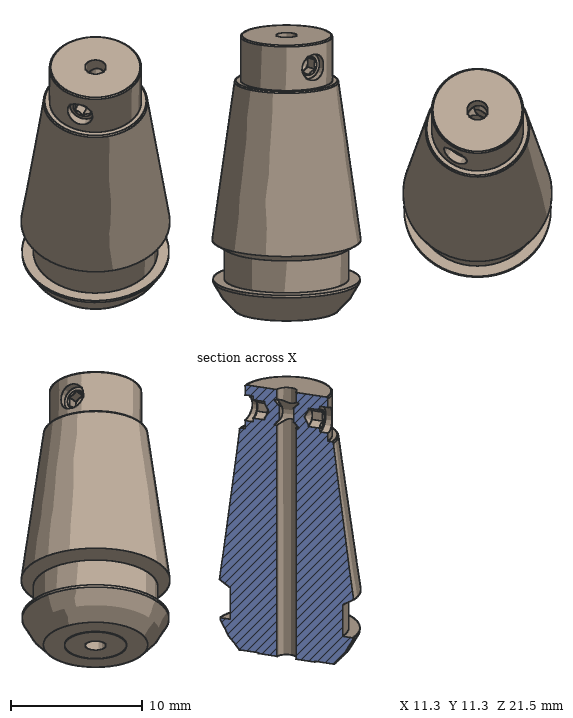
import cadquery as cq
import math

total_height = 21.5
shoulder_height = 17.97
taper_base_height = 5.5
groove_top_height = 4.95
flange_top_height = 2.45
flange_rim_height = 2.25
base_break_height = 1.05
base_height = 0.06

head_diameter = 7.0
shoulder_diameter = 7.93
taper_base_diameter = 11.35
groove_diameter = 9.5
flange_diameter = 11.2
base_break_diameter = 9.8
base_diameter = 7.95
base_land_diameter = 4.73
edge_chamfer = 0.1

bore_diameter = 1.6
screw_diameter = 2.02
screw_height = 19.63
screw_outer_distance = 2.84
screw_tip_distance = 0.58
screw_tip_diameter = 1.12
socket_flats = 1.25
socket_mouth_diameter = 1.5
socket_depth = 0.97
socket_cone_depth = 0.35


def revolve_outline(points):
    """Turn a closed (radius, axial position) outline about the local Y axis."""
    return cq.Workplane("XZ").polyline(points).close().revolve(360, (0, 0), (0, 1))


def make_body():
    outline = [
        (0, 0),
        (base_land_diameter / 2, 0),
        (base_land_diameter / 2, base_height),
        (base_diameter / 2, base_height),
        (base_break_diameter / 2, base_break_height),
        (flange_diameter / 2, flange_rim_height),
        (flange_diameter / 2, flange_top_height),
        (groove_diameter / 2, flange_top_height),
        (groove_diameter / 2, groove_top_height),
        (taper_base_diameter / 2, taper_base_height),
        (shoulder_diameter / 2, shoulder_height - edge_chamfer),
        (shoulder_diameter / 2 - edge_chamfer, shoulder_height),
        (head_diameter / 2, shoulder_height),
        (head_diameter / 2, total_height - edge_chamfer),
        (head_diameter / 2 - edge_chamfer, total_height),
        (0, total_height),
    ]
    return revolve_outline(outline)


def make_screw():
    """Set screw along +Z, at its working distance from the origin, with a hex socket."""
    radius = screw_diameter / 2
    tip_radius = screw_tip_diameter / 2
    screw = revolve_outline([
        (0, screw_tip_distance),
        (tip_radius, screw_tip_distance),
        (radius, screw_tip_distance + radius - tip_radius),
        (radius, screw_outer_distance),
        (0, screw_outer_distance),
    ])
    socket_corners = socket_flats / math.cos(math.pi / 6)
    socket_floor = screw_outer_distance - socket_depth
    socket = (
        cq.Workplane("XY", origin=(0, 0, socket_floor))
        .polygon(6, socket_corners)
        .extrude(socket_depth)
        .rotate((0, 0, 0), (0, 0, 1), 30)
    )
    floor_cone = revolve_outline([
        (0, socket_floor - socket_cone_depth),
        (socket_flats / 2, socket_floor),
        (0, socket_floor),
    ])
    mouth_radius = socket_mouth_diameter / 2
    mouth_cone = revolve_outline([
        (0, screw_outer_distance - mouth_radius),
        (mouth_radius, screw_outer_distance),
        (0, screw_outer_distance),
    ])
    return screw.cut(socket).cut(floor_cone).cut(mouth_cone)


def place_in_head(shape, side):
    """Lay a Z-aligned shape along -Y (side 1) or +Y (side -1) at screw height."""
    return shape.rotate((0, 0, 0), (1, 0, 0), 90 * side).translate((0, 0, screw_height))


bore = cq.Workplane("XY").circle(bore_diameter / 2).extrude(total_height)
screw_hole = cq.Workplane("XY").circle(screw_diameter / 2).extrude(head_diameter)

result = make_body().cut(bore)
for side in (1, -1):
    result = result.cut(place_in_head(screw_hole, side))
    result = result.union(place_in_head(make_screw(), side))